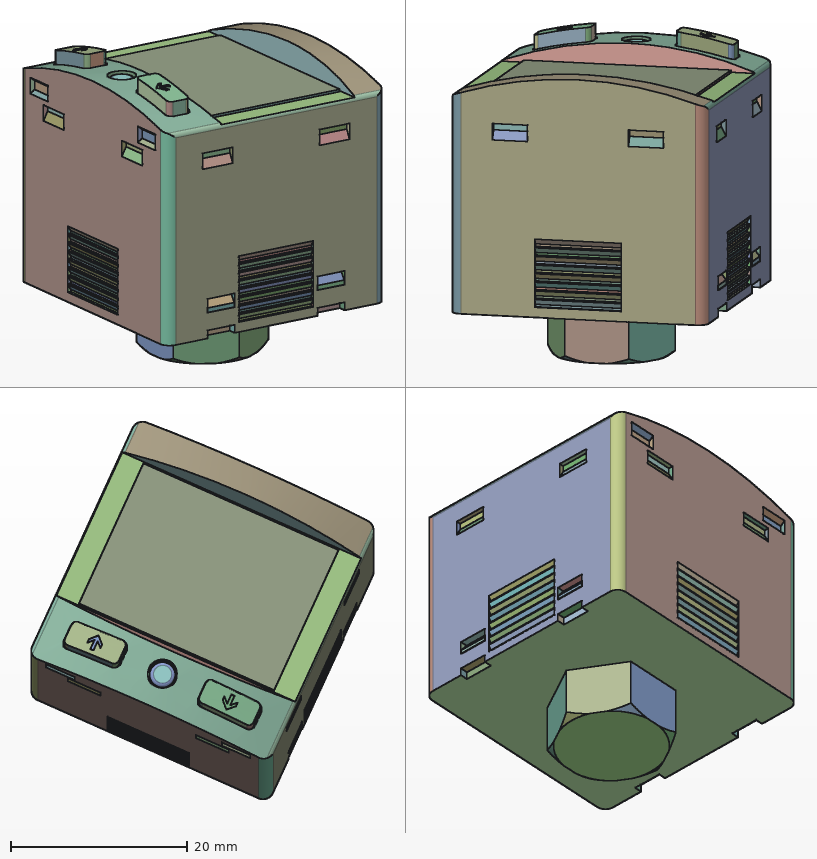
import cadquery as cq
import math

OVERALL_HEIGHT = 35.62

HOUSING_WIDTH = 30.0
HALF_WIDTH = HOUSING_WIDTH / 2
CORNER_RADIUS = 1.25
CROWN_HEIGHT = 27.68
CROWN_RADIUS = 45.45
CROWN_EDGE_RADIUS = 0.6


def crown_height_at(x):
    """Height of the crown arc at distance x from the middle."""
    return CROWN_HEIGHT - CROWN_RADIUS + math.sqrt(CROWN_RADIUS**2 - x**2)


NUT_HEIGHT = 6.6
NUT_ACROSS_FLATS = 13.0
NUT_CHAMFER_HEIGHT = 0.68
NUT_CHAMFER_WIDTH = 0.93

RECESS_FLOOR = 25.08
RECESS_FRONT = -7.35
RECESS_BACK = 10.8
RECESS_FLARE = 0.9
SCREEN_TOP = 25.35
SCREEN_WIDTH = 24.3
SCREEN_GAP = 0.18

KEY_CENTER_X = 8.37
KEY_CENTER_Y = -11.05
KEY_LENGTH = 6.7
KEY_WIDTH = 2.92
KEY_CORNER_RADIUS = 0.57
KEY_INNER_END = KEY_CENTER_X - KEY_LENGTH / 2
KEY_RISE = OVERALL_HEIGHT - NUT_HEIGHT - crown_height_at(KEY_INNER_END)
KEY_CLEARANCE = 0.18
KEY_WELL_DEPTH = 1.07

ARROW_LENGTH = 1.8
ARROW_HALF_SPAN = 0.82
ARROW_ARM_THICKNESS = 0.32
ARROW_SHAFT_WIDTH = 0.4
ARROW_DEPTH = 0.18

BUTTON_DIAMETER = 2.92
BUTTON_FILLET = 0.43
BUTTON_DROP = 0.2
BUTTON_WELL_DIAMETER = 3.3
BUTTON_WELL_DEPTH = 0.7

VENT_WIDTH = 10.15
VENT_COUNT = 8
VENT_PITCH = 1.0
VENT_TOP = 9.05
VENT_HEIGHT = 0.9
VENT_SLOPE_HEIGHT = 0.6
VENT_DEPTH = 0.4

LATCH_OFFSET = 7.98
LATCH_WIDTH = 4.1
LATCH_TOP = 22.15
LATCH_KNEE = 21.35
LATCH_BOTTOM = 20.25
LATCH_DEPTH = 0.57

COVER_OFFSET = 10.95
COVER_WIDTH = 3.55
COVER_TOP = 24.72
COVER_UPPER_KNEE = 24.25
COVER_LOWER_KNEE = 23.2
COVER_BOTTOM = 22.8
COVER_DEPTH = 0.6

HOOK_OFFSET = 7.5
HOOK_WIDTH = 3.7
HOOK_TOP = 4.7
HOOK_KNEE = 3.6
HOOK_BOTTOM = 3.05
HOOK_DEPTH = 0.93
HOOK_STEP_DEPTH = 0.07
NOTCH_HEIGHT = 0.95
NOTCH_DEPTH = 1.0

FRONT, RIGHT, BACK, LEFT = 0, 90, 180, 270


def crown_block(offset):
    """Solid under the crown arc, shifted up by offset, as wide and deep as the housing."""
    edge_height = crown_height_at(HALF_WIDTH) + offset
    return (
        cq.Workplane("XZ")
        .moveTo(-HALF_WIDTH, 0)
        .lineTo(-HALF_WIDTH, edge_height)
        .threePointArc((0, CROWN_HEIGHT + offset), (HALF_WIDTH, edge_height))
        .lineTo(HALF_WIDTH, 0)
        .close()
        .extrude(HALF_WIDTH, both=True)
    )


def make_housing():
    rounded_box = (
        cq.Workplane("XY")
        .rect(HOUSING_WIDTH, HOUSING_WIDTH)
        .extrude(CROWN_HEIGHT)
        .edges("|Z")
        .fillet(CORNER_RADIUS)
    )
    arched = crown_block(0).edges("|Y").edges(">Z").fillet(CROWN_EDGE_RADIUS)
    return arched.intersect(rounded_box)


def make_nut():
    across_corners = NUT_ACROSS_FLATS / math.cos(math.pi / 6)
    corner_radius = across_corners / 2
    hexagon = cq.Workplane("XY").polygon(6, across_corners).extrude(-NUT_HEIGHT)
    chamfer_envelope = (
        cq.Workplane("XZ")
        .polyline([
            (0, 0),
            (corner_radius, 0),
            (corner_radius, NUT_CHAMFER_HEIGHT - NUT_HEIGHT),
            (corner_radius - NUT_CHAMFER_WIDTH, -NUT_HEIGHT),
            (0, -NUT_HEIGHT),
        ])
        .close()
        .revolve(360, (0, 0), (0, 1))
    )
    return hexagon.intersect(chamfer_envelope)


def make_recess():
    return (
        cq.Workplane("YZ")
        .polyline([
            (RECESS_FRONT, RECESS_FLOOR),
            (RECESS_BACK, RECESS_FLOOR),
            (RECESS_BACK + RECESS_FLARE, CROWN_HEIGHT),
            (RECESS_FRONT - RECESS_FLARE, CROWN_HEIGHT),
        ])
        .close()
        .extrude(HOUSING_WIDTH, both=True)
    )


def make_screen():
    screen_depth = RECESS_BACK - RECESS_FRONT - 2 * SCREEN_GAP
    center_y = (RECESS_BACK + RECESS_FRONT) / 2
    return (
        cq.Workplane("XY", origin=(0, center_y, RECESS_FLOOR))
        .rect(SCREEN_WIDTH, screen_depth)
        .extrude(SCREEN_TOP - RECESS_FLOOR)
    )


def key_column(center_x, clearance):
    """Upright rounded column with the key outline, grown by clearance."""
    return (
        cq.Workplane("XY", origin=(center_x, KEY_CENTER_Y, 0))
        .rect(KEY_LENGTH + 2 * clearance, KEY_WIDTH + 2 * clearance)
        .extrude(CROWN_HEIGHT + KEY_RISE)
        .edges("|Z")
        .fillet(KEY_CORNER_RADIUS + clearance)
    )


def arrow_column(center_x, direction):
    """Upright arrow-shaped column pointing along +Y (direction 1) or -Y (direction -1)."""
    tip = ARROW_LENGTH / 2
    arm_drop = ARROW_ARM_THICKNESS * math.sqrt(2)
    half_shaft = ARROW_SHAFT_WIDTH / 2
    right_side = [
        (ARROW_HALF_SPAN, tip - ARROW_HALF_SPAN),
        (ARROW_HALF_SPAN, tip - ARROW_HALF_SPAN - arm_drop),
        (half_shaft, tip - half_shaft - arm_drop),
        (half_shaft, -tip),
    ]
    left_side = [(-x, y) for x, y in reversed(right_side)]
    outline = [(x, direction * y) for x, y in [(0, tip)] + right_side + left_side]
    return (
        cq.Workplane("XY", origin=(center_x, KEY_CENTER_Y, 0))
        .polyline(outline)
        .close()
        .extrude(CROWN_HEIGHT + KEY_RISE)
    )


def add_key(body, center_x, arrow_direction):
    well_floor = crown_block(-KEY_WELL_DEPTH)
    key_top = crown_block(KEY_RISE)
    arrow_floor = crown_block(KEY_RISE - ARROW_DEPTH)
    key = key_column(center_x, 0).intersect(key_top)
    arrow = arrow_column(center_x, arrow_direction).cut(arrow_floor)
    well = key_column(center_x, KEY_CLEARANCE).cut(well_floor)
    return body.cut(well).union(key).cut(arrow)


def add_round_button(body):
    well_floor = CROWN_HEIGHT - BUTTON_WELL_DEPTH
    floor_plane = cq.Workplane("XY", origin=(0, KEY_CENTER_Y, well_floor))
    well = floor_plane.circle(BUTTON_WELL_DIAMETER / 2).extrude(BUTTON_WELL_DEPTH)
    button = (
        floor_plane.circle(BUTTON_DIAMETER / 2)
        .extrude(BUTTON_WELL_DEPTH - BUTTON_DROP)
        .faces(">Z")
        .edges()
        .fillet(BUTTON_FILLET)
    )
    return body.cut(well).union(button)


def wall_cutter(wall, offset, width, profile):
    """Cutter for a wall pocket: profile holds (depth, height) points, offset runs along the wall."""
    outline = [(depth - HALF_WIDTH, height) for depth, height in profile]
    return (
        cq.Workplane("YZ", origin=(offset, 0, 0))
        .polyline(outline)
        .close()
        .extrude(width / 2, both=True)
        .rotate((0, 0, 0), (0, 0, 1), wall)
    )


def cut_pair(body, wall, offset, width, profile):
    for side in (-1, 1):
        body = body.cut(wall_cutter(wall, side * offset, width, profile))
    return body


def cut_vents(body, wall):
    for index in range(VENT_COUNT):
        top = VENT_TOP - index * VENT_PITCH
        louvre = [
            (0, top),
            (VENT_DEPTH, top - VENT_SLOPE_HEIGHT),
            (VENT_DEPTH, top - VENT_HEIGHT),
            (0, top - VENT_HEIGHT),
        ]
        body = body.cut(wall_cutter(wall, 0, VENT_WIDTH, louvre))
    return body


LATCH_PROFILE = [
    (0, LATCH_TOP),
    (LATCH_DEPTH, LATCH_TOP),
    (LATCH_DEPTH, LATCH_KNEE),
    (0, LATCH_BOTTOM),
]
COVER_PROFILE = [
    (0, COVER_TOP),
    (COVER_DEPTH, COVER_UPPER_KNEE),
    (COVER_DEPTH, COVER_LOWER_KNEE),
    (0, COVER_BOTTOM),
]
HOOK_PROFILE = [
    (0, HOOK_TOP),
    (HOOK_DEPTH, HOOK_TOP),
    (HOOK_STEP_DEPTH, HOOK_KNEE),
    (HOOK_STEP_DEPTH, HOOK_BOTTOM),
    (0, HOOK_BOTTOM),
]
NOTCH_PROFILE = [
    (0, 0),
    (0, NOTCH_HEIGHT),
    (NOTCH_DEPTH, NOTCH_HEIGHT),
    (NOTCH_DEPTH, 0),
]

body = make_housing().cut(make_recess()).union(make_screen())

for wall in (FRONT, RIGHT, BACK, LEFT):
    body = cut_vents(body, wall)
    body = cut_pair(body, wall, LATCH_OFFSET, LATCH_WIDTH, LATCH_PROFILE)

body = cut_pair(body, FRONT, COVER_OFFSET, COVER_WIDTH, COVER_PROFILE)

for wall in (LEFT, RIGHT):
    body = cut_pair(body, wall, HOOK_OFFSET, HOOK_WIDTH, HOOK_PROFILE)
    body = cut_pair(body, wall, HOOK_OFFSET, HOOK_WIDTH, NOTCH_PROFILE)

body = add_key(body, -KEY_CENTER_X, 1)
body = add_key(body, KEY_CENTER_X, -1)
body = add_round_button(body)

result = body.union(make_nut())